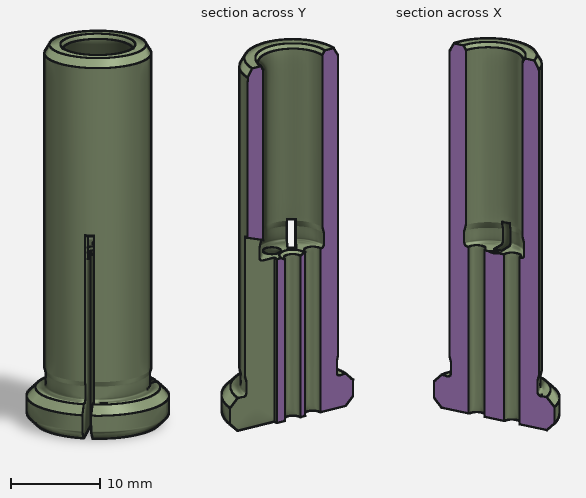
import cadquery as cq
import math

total_length = 44.0
tube_radius = 12.0 / 2
bore_radius = 7.8 / 2
bore_floor_z = 20.0

top_chamfer_angle = math.radians(30)
top_chamfer_height = 1.0
bore_chamfer_width = 0.3

head_radius = 8.0
head_height = 4.0
head_chamfer = 1.0
head_chamfer_angle = math.radians(45)
head_round_radius = 0.4

relief_fillet = 0.4
relief_runout_angle = math.radians(15)
neck_relief_depth = 0.15
neck_relief_length = 2.3
bore_relief_depth = 0.2
bore_relief_length = 2.5

face_relief_depth = 0.05
face_ramp_angle = math.radians(8)

branch_count = 3
branch_spacing = 360 / branch_count
passage_radius = 2.0 / 2
passage_circle_radius = 2.65
countersink_radius = 1.52
countersink_slope = math.radians(30)

slot_width = 1.0
slot_inner_radius = 2.1
slot_outer_radius = head_radius + 1.0
slot_top_at_tube = 23.45
slot_top_slope = math.radians(20)
first_slot_angle = 180


def revolve_about_axis(outline):
    """Turn a closed outline of radius and height into a solid around Z."""
    return outline.close().revolve(360, (0, 0, 0), (0, 1, 0))


def point_on_arc(center_radius, center_z, arc_radius, angle):
    """Radius and height of the point at an angle above the outward horizontal."""
    return (
        center_radius + arc_radius * math.cos(angle),
        center_z + arc_radius * math.sin(angle),
    )


def fillet_start_radius(wall_radius, depth, face_side):
    """Radius where the relief fillet leaves the face.

    face_side is 1 where the face lies outside the wall and -1 where it lies inside.
    """
    return wall_radius + face_side * (relief_fillet - depth)


def add_wall_relief(outline, wall_radius, depth, face_side, floor_z, end_z):
    """Continue an outline from the face through the fillet and groove to the full wall."""
    center_radius = fillet_start_radius(wall_radius, depth, face_side)
    center_z = floor_z + relief_fillet
    groove_radius = wall_radius - face_side * depth
    toward_wall = math.radians(225 if face_side > 0 else 315)
    fillet_middle = point_on_arc(center_radius, center_z, relief_fillet, toward_wall)
    runout_height = depth / math.tan(relief_runout_angle)
    return (
        outline.threePointArc(fillet_middle, (groove_radius, center_z))
        .lineTo(groove_radius, end_z - runout_height)
        .lineTo(wall_radius, end_z)
    )


def make_outer_body():
    """Solid sleeve with its head, neck relief and top chamfer."""
    round_center_radius = head_radius - head_round_radius
    round_center_z = head_chamfer + head_round_radius * math.tan(head_chamfer_angle / 2)
    round_start, round_middle, round_end = [
        point_on_arc(round_center_radius, round_center_z, head_round_radius, angle)
        for angle in (-head_chamfer_angle, -head_chamfer_angle / 2, 0)
    ]
    relief_floor_z = head_height - face_relief_depth
    ramp_inner_radius = fillet_start_radius(tube_radius, neck_relief_depth, 1)
    ramp_outer_radius = ramp_inner_radius + face_relief_depth / math.tan(face_ramp_angle)
    top_radius = tube_radius - top_chamfer_height * math.tan(top_chamfer_angle)

    outline = (
        cq.Workplane("XZ")
        .lineTo(head_radius - head_chamfer, 0)
        .lineTo(*round_start)
        .threePointArc(round_middle, round_end)
        .lineTo(head_radius, head_height - head_chamfer)
        .lineTo(head_radius - head_chamfer, head_height)
        .lineTo(ramp_outer_radius, head_height)
        .lineTo(ramp_inner_radius, relief_floor_z)
    )
    outline = add_wall_relief(
        outline, tube_radius, neck_relief_depth, 1, relief_floor_z, head_height + neck_relief_length
    )
    outline = (
        outline.lineTo(tube_radius, total_length - top_chamfer_height)
        .lineTo(top_radius, total_length)
        .lineTo(0, total_length)
    )
    return revolve_about_axis(outline)


def make_bore():
    """Blind bore from the top, with a relief groove at its floor and a chamfered mouth."""
    mouth_chamfer_height = bore_chamfer_width / math.tan(top_chamfer_angle)
    floor_radius = fillet_start_radius(bore_radius, bore_relief_depth, -1)

    outline = cq.Workplane("XZ").moveTo(0, bore_floor_z).lineTo(floor_radius, bore_floor_z)
    outline = add_wall_relief(
        outline, bore_radius, bore_relief_depth, -1, bore_floor_z, bore_floor_z + bore_relief_length
    )
    outline = (
        outline.lineTo(bore_radius, total_length - mouth_chamfer_height)
        .lineTo(bore_radius + bore_chamfer_width, total_length)
        .lineTo(0, total_length)
    )
    return revolve_about_axis(outline)


def make_center_passage():
    """Round passage on the axis, countersunk at the bore floor."""
    countersink_depth = (countersink_radius - passage_radius) * math.tan(countersink_slope)
    outline = (
        cq.Workplane("XZ")
        .lineTo(passage_radius, 0)
        .lineTo(passage_radius, bore_floor_z - countersink_depth)
        .lineTo(countersink_radius, bore_floor_z)
        .lineTo(0, bore_floor_z)
    )
    return revolve_about_axis(outline)


def make_outer_passages():
    """Ring of round passages from the bottom to the bore floor."""
    return (
        cq.Workplane("XY")
        .polarArray(passage_circle_radius, 0, 360, branch_count)
        .circle(passage_radius)
        .extrude(bore_floor_z)
    )


def slot_top_z(radius):
    """Height of the sloping slot end at a radius."""
    return slot_top_at_tube + (radius - tube_radius) * math.tan(slot_top_slope)


def make_slot(angle):
    """Radial slot pointing in the direction given in degrees from +X."""
    slot = (
        cq.Workplane("XZ")
        .moveTo(slot_inner_radius, 0)
        .lineTo(slot_outer_radius, 0)
        .lineTo(slot_outer_radius, slot_top_z(slot_outer_radius))
        .lineTo(slot_inner_radius, slot_top_z(slot_inner_radius))
        .close()
        .extrude(slot_width / 2, both=True)
    )
    return slot.rotate((0, 0, 0), (0, 0, 1), angle)


result = make_outer_body().cut(make_bore())
result = result.cut(make_center_passage())
result = result.cut(make_outer_passages())
for index in range(branch_count):
    result = result.cut(make_slot(first_slot_angle + index * branch_spacing))